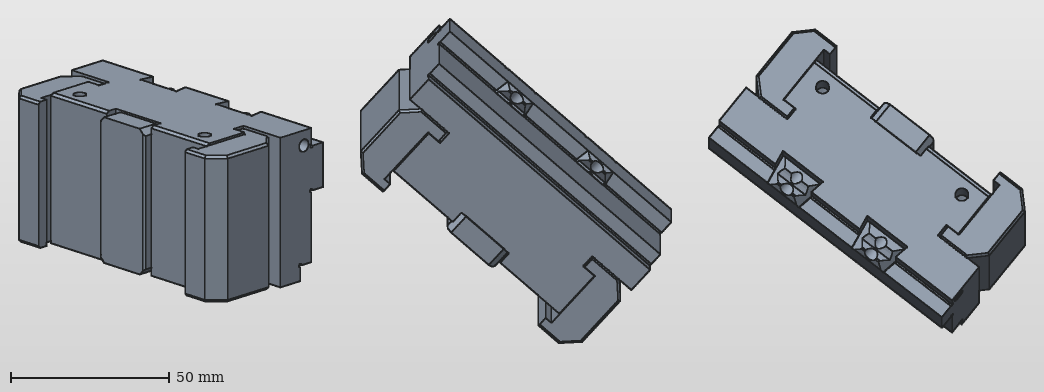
import cadquery as cq
import math

width = 94.0
depth = 47.6
height = 50.0
half_width = width / 2

body_front_y = 7.6
body_back_y = 42.4
front_bevel_run = 1.2
front_bevel_drop = 0.75
shoulder_y = 28.6
hook_y = 24.25
body_half_width = 35.2
neck_half_width = 30.4
foot_step_y = 37.5
foot_step_z = 5.2
relief_radius = 0.6

rail_bottom_z = 29.0
rail_top_z = 44.0
rail_mid_z = (rail_bottom_z + rail_top_z) / 2

jaw_clearance = 0.6
jaw_inner_x = 35.4
jaw_hook_x = 31.0
jaw_lip_x = 33.0
jaw_lip_thickness = 3.6
jaw_corner = 5.2
jaw_edge_rise = 0.8
jaw_edge_run = 0.75

key_half_width = 10.1
key_front_y = 4.5
key_back_y = 11.75
key_clearance = 0.7
key_corner = 2.1
key_edge_chamfer = 0.6

hole_diameter = 4.1
hole_depth = 9.4
drill_point_angle = 118.0
top_hole_x = 28.1
top_hole_y = 13.5
side_hole_y = 39.0
side_hole_z = 44.9

lug_x = 17.0
lug_front_y = 37.5
lug_front_half_width = 8.1
lug_back_half_width = 6.4
lug_base_z = 43.0
valley_y = 43.3
valley_z = 44.5
front_tip_y = 40.8
front_tip_z = 45.8
front_tip_back_y = 41.8
front_tip_back_z = 45.1
rear_tip_y = 46.1
rear_tip_z = 46.2
rear_tip_width = 0.6
lug_groove_radius = 2.35
lug_groove_z = 47.0


def block(x0, x1, y0, y1, z0, z1):
    return cq.Workplane("XY").box(x1 - x0, y1 - y0, z1 - z0, centered=False).translate((x0, y0, z0))


def both_sides(shape):
    return shape.union(shape.mirror("YZ"))


def x_cylinder(y, z):
    """Full-width relief groove along X."""
    groove = cq.Workplane("YZ").center(y, z).circle(relief_radius).extrude(width)
    return groove.translate((-half_width, 0, 0))


def make_body():
    side_profile = [
        (body_front_y, 0),
        (foot_step_y, 0),
        (foot_step_y, foot_step_z),
        (body_back_y, foot_step_z),
        (body_back_y, rail_bottom_z),
        (depth, rail_bottom_z),
        (depth, rail_top_z),
        (body_back_y, rail_top_z),
        (body_back_y, height),
        (body_front_y + front_bevel_run, height),
        (body_front_y, height - front_bevel_drop),
    ]
    body = cq.Workplane("YZ").polyline(side_profile).close().extrude(width)
    body = body.translate((-half_width, 0, 0))
    front_relief = block(body_half_width, half_width, 0, shoulder_y, 0, height)
    neck_relief = block(neck_half_width, half_width, hook_y, shoulder_y, 0, height)
    body = body.cut(both_sides(front_relief.union(neck_relief)))
    for y, z in [
        (body_back_y, rail_top_z),
        (body_back_y, rail_bottom_z),
        (foot_step_y, foot_step_z),
    ]:
        body = body.cut(x_cylinder(y, z))
    return body


def make_jaw():
    """Jaw on the +X side, with bevelled outer edges at top and bottom."""
    bottom = jaw_clearance
    top = height - jaw_clearance
    outer_points = [
        (jaw_hook_x, shoulder_y),
        (half_width - jaw_corner, shoulder_y),
        (half_width, shoulder_y - jaw_corner),
        (half_width, jaw_corner),
        (half_width - jaw_corner, 0),
        (jaw_lip_x, 0),
    ]
    outline = outer_points + [
        (jaw_lip_x, jaw_lip_thickness),
        (jaw_inner_x, jaw_lip_thickness),
        (jaw_inner_x, hook_y),
        (jaw_hook_x, hook_y),
    ]
    jaw = cq.Workplane("XY").workplane(offset=bottom).polyline(outline).close().extrude(top - bottom)

    taper = math.degrees(math.atan(jaw_edge_run / jaw_edge_rise))
    hull_points = outer_points + [(-x, y) for x, y in reversed(outer_points)]
    mid_height = (bottom + top) / 2
    straight = top - jaw_edge_rise - mid_height
    hull = cq.Workplane("XY").workplane(offset=mid_height).polyline(hull_points).close().extrude(straight)
    hull = hull.faces(">Z").wires().toPending().workplane().extrude(jaw_edge_rise, taper=taper)
    hull = hull.union(hull.mirror("XY", (0, 0, mid_height)))
    return jaw.intersect(hull)


def make_key():
    key = block(-key_half_width, key_half_width, key_front_y, key_back_y, key_clearance, height - key_clearance)
    key = key.edges("|Y").chamfer(key_corner)
    return key.faces("<Y").edges("|Z").chamfer(key_edge_chamfer)


def make_drill():
    """Pointed drill with its mouth at the origin, pointing down -Z."""
    radius = hole_diameter / 2
    point = radius / math.tan(math.radians(drill_point_angle / 2))
    profile = [(0, 0), (radius, 0), (radius, -hole_depth), (0, -hole_depth - point)]
    return cq.Workplane("XZ").polyline(profile).close().revolve(360, (0, 0, 0), (0, 1, 0))


def lug_outline(inset):
    front = lug_front_half_width - inset
    back = lug_back_half_width - inset
    return [(-front, lug_front_y), (front, lug_front_y), (back, depth), (-back, depth)]


def make_lug():
    """Two-toothed lug centred on X = 0."""
    half_tip = rear_tip_width / 2
    teeth_profile = [
        (lug_front_y, lug_base_z),
        (lug_front_y, rail_top_z),
        (front_tip_y, front_tip_z),
        (front_tip_back_y, front_tip_back_z),
        (valley_y, valley_z),
        (rear_tip_y - half_tip, rear_tip_z),
        (rear_tip_y + half_tip, rear_tip_z),
        (depth, rail_top_z),
        (depth, lug_base_z),
    ]
    teeth = cq.Workplane("YZ").polyline(teeth_profile).close().extrude(lug_front_half_width, both=True)
    rise = rear_tip_z - lug_base_z
    wedge = cq.Workplane("XY").workplane(offset=lug_base_z).polyline(lug_outline(0)).close()
    wedge = wedge.workplane(offset=rise).polyline(lug_outline(rise)).close().loft(ruled=True)
    groove = cq.Workplane("XZ").center(0, lug_groove_z).circle(lug_groove_radius).extrude(-depth)
    return teeth.intersect(wedge).cut(groove)


def add_lugs(body):
    pocket = cq.Workplane("XY").workplane(offset=lug_base_z).polyline(lug_outline(0)).close()
    pocket = pocket.extrude(height - lug_base_z)
    upper = make_lug()
    rear_tooth_zone = block(-half_width, half_width, body_back_y, depth, 0, height)
    lower = upper.mirror("XY", (0, 0, rail_mid_z)).intersect(rear_tooth_zone)
    for x in (-lug_x, lug_x):
        body = body.cut(pocket.translate((x, 0, 0)))
        body = body.union(upper.translate((x, 0, 0)))
        body = body.union(lower.translate((x, 0, 0)))
    return body


def drill_holes(body):
    drill = make_drill()
    top_hole = drill.translate((top_hole_x, top_hole_y, height))
    side_hole = drill.rotate((0, 0, 0), (0, 1, 0), 90)
    side_hole = side_hole.translate((half_width, side_hole_y, side_hole_z))
    return body.cut(both_sides(top_hole)).cut(both_sides(side_hole))


key_slot = block(-key_half_width, key_half_width, body_front_y, key_back_y, 0, height)
body = add_lugs(make_body().cut(key_slot))
body = drill_holes(body)
result = body.union(make_key()).union(both_sides(make_jaw()))